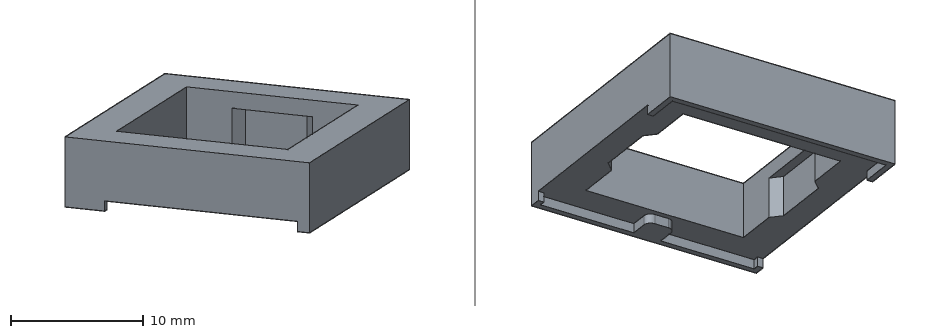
import cadquery as cq

outer_side = 20.0
opening_side = 14.0
frame_height = 5.5

pocket_depth = 0.8
lip_thickness = 0.5

window_left_margin = 3.25
window_right_margin = 1.0

key_inset = 2.55
key_length = 2.4
key_corner_radius = 0.6

recess_mouth_width = 6.6
recess_depth = 0.8
recess_top_web = 1.3


def make_frame():
    """Square block with a square opening right through it."""
    return (
        cq.Workplane("XY")
        .rect(outer_side, outer_side)
        .rect(opening_side, opening_side)
        .extrude(frame_height)
    )


def make_key():
    """Block reaching inward from the +X lip, its two free vertical corners rounded."""
    key_reach = key_inset - lip_thickness
    return (
        cq.Workplane("XY")
        .center(outer_side / 2 - lip_thickness - key_reach / 2, 0)
        .rect(key_reach, key_length)
        .extrude(pocket_depth)
        .edges("|Z and <X")
        .fillet(key_corner_radius)
    )


def make_underside_cut():
    """Cutter for the pocket and both lip windows that leaves the key standing."""
    pocket_side = outer_side - 2 * lip_thickness
    pocket = cq.Workplane("XY").rect(pocket_side, pocket_side).extrude(pocket_depth)
    window_width = outer_side - window_left_margin - window_right_margin
    windows = (
        cq.Workplane("XY")
        .center((window_left_margin - window_right_margin) / 2, 0)
        .rect(window_width, outer_side)
        .extrude(pocket_depth)
    )
    return pocket.union(windows).cut(make_key())


def make_latch_recess():
    """Cutter for the +Y wall: open below, with ends tapering inward at 45 degrees."""
    mouth_half = recess_mouth_width / 2
    back_half = mouth_half - recess_depth
    mouth_y = opening_side / 2
    back_y = mouth_y + recess_depth
    return (
        cq.Workplane("XY")
        .moveTo(-mouth_half, mouth_y)
        .lineTo(mouth_half, mouth_y)
        .lineTo(back_half, back_y)
        .lineTo(-back_half, back_y)
        .close()
        .extrude(frame_height - recess_top_web)
    )


latch_recess = make_latch_recess()

result = (
    make_frame()
    .cut(make_underside_cut())
    .cut(latch_recess)
    .cut(latch_recess.mirror("XZ"))
)